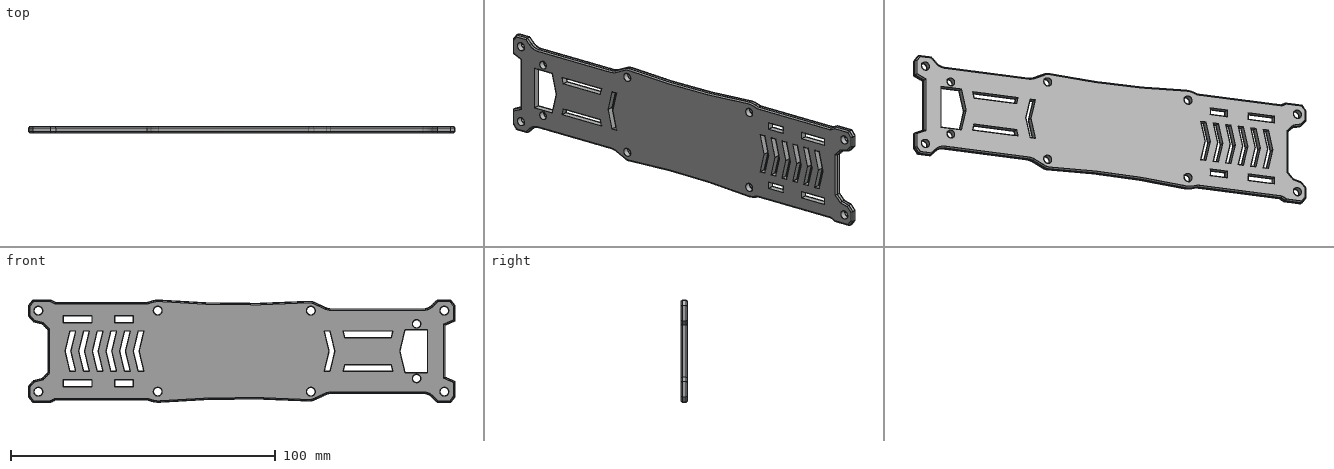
import cadquery as cq
import math

length = 161.2
height = 38.7
thickness = 2.5
edge_chamfer = 0.56

half_length = length / 2
half_height = height / 2

tab_corner_x = 1.6
tab_corner_z = 2.1

left_notch_depth = 7.4
left_notch_straight = 8.0
left_notch_cut = 2.3
left_notch_edge = 11.1
left_tab_low = 13.2
left_tab_cut = 2.0
left_tab_inner_x = -72.2
left_side_start_x = -70.3
left_side_z = 18.4
left_side_end_x = -35.8
shoulder_x = -34.3
shoulder_z = 18.9

waist_left_x = -31.5
waist_right_x = 25.3
waist_right_z = 18.9
waist_z = 18.0

slope_top_x = 27.2
slope_top_z = 18.5
slope_foot_x = 32.0
slope_foot_z = 16.3
right_side_start_x = 33.5
right_side_z = 16.0
bend_x = 68.5
bend_radius = 4.8
bend_angle = 45
right_notch_depth = 3.7
right_notch_z = 9.8
right_tab_low = 11.5

screw_diameter = 3.2
screw_z = 15.3
screw_xs = (-76.9, -31.8, 26.1, 76.5)
window_screw_diameter = 3.0
window_screw_x = 66.1
window_screw_z = 10.3

strap_slot_z = 12.1
strap_slot_width = 2.5
strap_slots = ((-62.0, 10.8), (-44.5, 7.0))

lean = 0.24
chevron_half_height = 7.5
chevron_width = 2.1
chevron_count = 6
chevron_pitch = 5.2
first_chevron_x = -66.7
right_chevron_x = 33.0

long_slot_left = 38.4
long_slot_right = 57.0
long_slot_width = 2.4

window_tip_x = 59.8
window_right_x = 70.1
window_half_height = 8.0


def plate():
    """Blank with the outer contour, chamfered along both faces."""
    left_notch_x = -half_length + left_notch_depth
    waist_x = (waist_left_x + waist_right_x) / 2
    bend_run = bend_radius * math.sin(math.radians(bend_angle))
    bend_rise = bend_radius * (1 - math.cos(math.radians(bend_angle)))
    ramp_rise = half_height - right_side_z - bend_rise
    ramp_run = ramp_rise / math.tan(math.radians(bend_angle))
    right_notch_x = half_length - right_notch_depth
    upper_half = (
        cq.Workplane("XZ", origin=(0, thickness / 2, 0))
        .moveTo(left_notch_x, 0)
        .lineTo(left_notch_x, left_notch_straight)
        .lineTo(left_notch_x - left_notch_cut, left_notch_straight + left_notch_cut)
        .lineTo(-half_length + left_tab_cut, left_notch_edge)
        .lineTo(-half_length, left_tab_low)
        .lineTo(-half_length, half_height - tab_corner_z)
        .lineTo(-half_length + tab_corner_x, half_height)
        .lineTo(left_tab_inner_x, half_height)
        .lineTo(left_side_start_x, left_side_z)
        .lineTo(left_side_end_x, left_side_z)
        .lineTo(shoulder_x, shoulder_z)
        .tangentArcPoint((waist_left_x, half_height), relative=False)
        .threePointArc((waist_x, waist_z), (waist_right_x, waist_right_z))
        .tangentArcPoint((slope_top_x, slope_top_z), relative=False)
        .lineTo(slope_foot_x, slope_foot_z)
        .lineTo(right_side_start_x, right_side_z)
        .lineTo(bend_x, right_side_z)
        .tangentArcPoint((bend_run, bend_rise))
        .lineTo(bend_x + bend_run + ramp_run, half_height)
        .lineTo(half_length - tab_corner_x, half_height)
        .lineTo(half_length, half_height - tab_corner_z)
        .lineTo(half_length, right_tab_low)
        .lineTo(right_notch_x, right_notch_z)
        .lineTo(right_notch_x, 0)
    )
    blank = upper_half.mirrorX().extrude(thickness)
    return blank.faces("<Y or >Y").chamfer(edge_chamfer)


def cutter(sketch):
    """Solid through the plate from a closed sketch."""
    return sketch.extrude(thickness, both=True)


def polygon_cutter(points):
    """Solid through the plate with straight walls between (X, Z) points."""
    return cutter(cq.Workplane("XZ").polyline(points).close())


def screw_holes(xs, z, diameter):
    centres = [(x, side * z) for x in xs for side in (1, -1)]
    return cutter(cq.Workplane("XZ").pushPoints(centres).circle(diameter / 2))


def chevron(tip_x, direction):
    """Vent whose arms lean by direction (1: tip to the left, -1: to the right)."""
    arm_x = tip_x + direction * lean * chevron_half_height
    return polygon_cutter([
        (tip_x, 0),
        (arm_x, chevron_half_height),
        (arm_x + chevron_width, chevron_half_height),
        (tip_x + chevron_width, 0),
        (arm_x + chevron_width, -chevron_half_height),
        (arm_x, -chevron_half_height),
    ])


def strap_slot_pair(x, slot_length):
    centres = [(x, strap_slot_z), (x, -strap_slot_z)]
    return cutter(cq.Workplane("XZ").pushPoints(centres).rect(slot_length, strap_slot_width))


def long_slot(side):
    outer_z = side * chevron_half_height
    inner_z = side * (chevron_half_height - long_slot_width)
    run = lean * long_slot_width
    return polygon_cutter([
        (long_slot_left, outer_z),
        (long_slot_right, outer_z),
        (long_slot_right - run, inner_z),
        (long_slot_left + run, inner_z),
    ])


def window():
    window_left_x = window_tip_x + lean * window_half_height
    return polygon_cutter([
        (window_tip_x, 0),
        (window_left_x, window_half_height),
        (window_right_x, window_half_height),
        (window_right_x, -window_half_height),
        (window_left_x, -window_half_height),
    ])


result = plate()
result = result.cut(screw_holes(screw_xs, screw_z, screw_diameter))
result = result.cut(screw_holes([window_screw_x], window_screw_z, window_screw_diameter))
for slot_x, slot_length in strap_slots:
    result = result.cut(strap_slot_pair(slot_x, slot_length))
for index in range(chevron_count):
    result = result.cut(chevron(first_chevron_x + index * chevron_pitch, 1))
result = result.cut(chevron(right_chevron_x, -1))
for side in (1, -1):
    result = result.cut(long_slot(side))
result = result.cut(window())